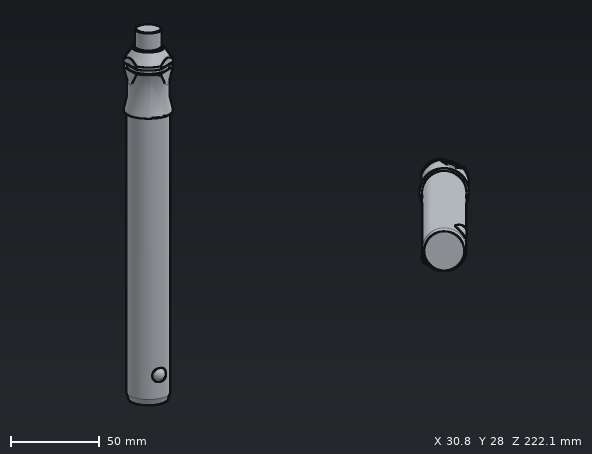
import cadquery as cq

total_height = 222.06

shank_radius = 12.5
tip_radius = 11.3
tip_taper_height = 4.0

ball_radius = 4.5
ball_reach = 15.4
ball_height = 18.1

collar_radius = 14.0
waist_radius = 11.85
rim_height = 0.6
waist_half_height = 12.5
shoulder_height = total_height - 49.2
lower_rim_top = shoulder_height + rim_height
waist_height = lower_rim_top + waist_half_height
upper_rim_bottom = waist_height + waist_half_height
groove_bottom = upper_rim_bottom + rim_height
groove_width = 2.7
groove_top = groove_bottom + groove_width
groove_radius = 12.0

cap_rim_height = 1.9
cone_bottom = groove_top + cap_rim_height
cone_top = total_height - 11.25
cone_top_radius = 9.0
cap_top_radius = 8.2
bevel_height = 0.6
button_radius = 7.5
button_base = cone_top + bevel_height
button_chamfer = 0.4

flat_distance = 12.1
flat_count = 3
first_flat_angle = -90.0


def make_body():
    """Turn the shank, neck, grooved collar, cone and button in one profile."""
    profile = (
        cq.Workplane("XZ")
        .moveTo(0, 0)
        .lineTo(tip_radius, 0)
        .lineTo(shank_radius, tip_taper_height)
        .lineTo(shank_radius, shoulder_height)
        .lineTo(collar_radius, shoulder_height)
        .lineTo(collar_radius, lower_rim_top)
        .threePointArc((waist_radius, waist_height), (collar_radius, upper_rim_bottom))
        .lineTo(collar_radius, groove_bottom)
        .lineTo(groove_radius, groove_bottom)
        .lineTo(groove_radius, groove_top)
        .lineTo(collar_radius, groove_top)
        .lineTo(collar_radius, cone_bottom)
        .lineTo(cone_top_radius, cone_top)
        .lineTo(cap_top_radius, button_base)
        .lineTo(button_radius, button_base)
        .lineTo(button_radius, total_height - button_chamfer)
        .lineTo(button_radius - button_chamfer, total_height)
        .lineTo(0, total_height)
        .close()
    )
    return profile.revolve(360, (0, 0, 0), (0, 1, 0))


def cut_flats(body):
    """Mill equally spaced flats on the head, above the waist."""
    depth = collar_radius
    height = total_height - waist_height
    for index in range(flat_count):
        angle = first_flat_angle + index * 360 / flat_count
        cutter = (
            cq.Workplane("XY")
            .box(depth, 2 * collar_radius, height, centered=(False, True, False))
            .translate((flat_distance, 0, waist_height))
            .rotate((0, 0, 0), (0, 0, 1), angle)
        )
        body = body.cut(cutter)
    return body


def add_balls(body):
    """Add the two locking balls that stand out of the shank along X."""
    for side in (-1, 1):
        center_x = side * (ball_reach - ball_radius)
        ball = cq.Workplane("YZ").sphere(ball_radius).translate((center_x, 0, ball_height))
        body = body.union(ball)
    return body


result = add_balls(cut_flats(make_body()))